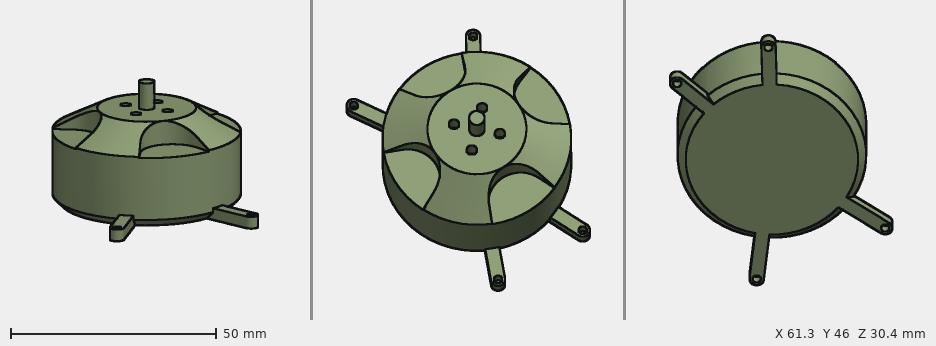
import cadquery as cq
import math

can_radius = 23.0
base_chamfer = 2.0
shoulder_height = 18.0
cap_radius = 12.05
cap_height = 23.7

shaft_radius = 1.9
shaft_top = 30.4

pocket_count = 4
pocket_floor = 17.7
pocket_half_angle = 22.5
pocket_nose_radius = 7.8
pocket_tip = cap_radius

cap_hole_offset = 4.05
cap_hole_diameter = 2.5
cap_hole_depth = 5.0

arm_tip_span = 61.28
arm_width = 3.5
arm_thickness = 3.0
arm_hole_diameter = 2.0
arm_hole_x = arm_tip_span / 2 - arm_width / 2
left_arm_hole_y = 12.2
right_arm_hole_y = 17.2


def make_can():
    outline = [
        (0, 0),
        (can_radius - base_chamfer, 0),
        (can_radius, base_chamfer),
        (can_radius, shoulder_height),
        (cap_radius, cap_height),
        (0, cap_height),
    ]
    return cq.Workplane("XZ").polyline(outline).close().revolve(360, (0, 0), (0, 1))


def make_pocket():
    """Rounded wedge opening outwards along +X, cut down to the pocket floor."""
    angle = math.radians(pocket_half_angle)
    nose_center = pocket_tip + pocket_nose_radius
    tangent_x = nose_center - pocket_nose_radius * math.sin(angle)
    tangent_y = pocket_nose_radius * math.cos(angle)
    mouth_x = can_radius + pocket_nose_radius
    mouth_y = tangent_y + (mouth_x - tangent_x) * math.tan(angle)
    return (
        cq.Workplane("XY")
        .workplane(offset=pocket_floor)
        .moveTo(mouth_x, -mouth_y)
        .lineTo(tangent_x, -tangent_y)
        .threePointArc((pocket_tip, 0), (tangent_x, tangent_y))
        .lineTo(mouth_x, mouth_y)
        .close()
        .extrude(cap_height - pocket_floor)
    )


def make_arm(hole_x, hole_y):
    """Radial bar from the can axis to a rounded, drilled end at the given point."""
    length = math.hypot(hole_x, hole_y)
    bar = cq.Workplane("XY").rect(length, arm_width).extrude(arm_thickness)
    bar = bar.translate((length / 2, 0, 0))
    end = cq.Workplane("XY").center(length, 0).circle(arm_width / 2).extrude(arm_thickness)
    hole = cq.Workplane("XY").center(length, 0).circle(arm_hole_diameter / 2).extrude(arm_thickness)
    direction = math.degrees(math.atan2(hole_y, hole_x))
    return bar.union(end).cut(hole).rotate((0, 0, 0), (0, 0, 1), direction)


def make_shaft():
    stub = cq.Workplane("XY").workplane(offset=cap_height).circle(shaft_radius)
    return stub.extrude(shaft_top - cap_height)


def make_cap_holes():
    spacing = 2 * cap_hole_offset
    return (
        cq.Workplane("XY")
        .workplane(offset=cap_height - cap_hole_depth)
        .rarray(spacing, spacing, 2, 2)
        .circle(cap_hole_diameter / 2)
        .extrude(cap_hole_depth)
    )


result = make_can()

pocket = make_pocket()
for index in range(pocket_count):
    result = result.cut(pocket.rotate((0, 0, 0), (0, 0, 1), index * 360 / pocket_count))

result = result.cut(make_cap_holes())
result = result.union(make_shaft())

for side in (-1, 1):
    result = result.union(make_arm(-arm_hole_x, side * left_arm_hole_y))
    result = result.union(make_arm(arm_hole_x, side * right_arm_hole_y))